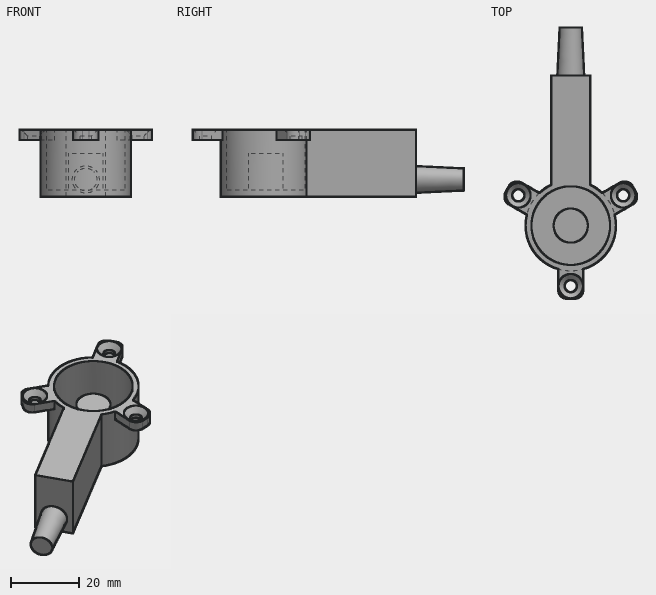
import cadquery as cq
import math

total_length = 79.4
height = 19.7

cup_diameter = 26.5
bore_diameter = 23.0
floor_thickness = 2.0
post_diameter = 10.0
post_top_depth = 7.0

ear_count = 3
ear_first_angle = -90.0
ear_reach = 21.4
ear_width = 7.4
ear_thickness = 3.1
ear_corner_radius = 2.7
hole_distance = 17.7
hole_diameter = 3.5
countersink_diameter = 7.15
countersink_angle = 90.0

arm_width = 11.4
arm_end = 44.0
stub_root_diameter = 7.95
stub_tip_diameter = 6.6
stub_axis_height = 5.1
stub_tip = total_length - ear_reach


def cylinder(diameter, bottom, top):
    """Upright cylinder on the cup axis."""
    return cq.Workplane("XY").workplane(offset=bottom).circle(diameter / 2).extrude(top - bottom)


def make_arm():
    """Rectangular arm running from the cup axis to its flat end."""
    return cq.Workplane("XY").box(arm_width, arm_end, height, centered=(True, False, False))


def make_stub():
    """Cable stub that narrows away from the end of the arm."""
    stub_length = stub_tip - arm_end
    taper = math.degrees(math.atan((stub_root_diameter - stub_tip_diameter) / 2 / stub_length))
    return (
        cq.Workplane("XZ", origin=(0, arm_end, stub_axis_height))
        .circle(stub_root_diameter / 2)
        .extrude(-stub_length, taper=taper)
    )


def make_ear(angle):
    """Flat ear flush with the cup rim, with rounded outer corners."""
    return (
        cq.Workplane("XY")
        .box(ear_reach, ear_width, ear_thickness, centered=(False, True, False))
        .edges("|Z and >X")
        .fillet(ear_corner_radius)
        .translate((0, 0, height - ear_thickness))
        .rotate((0, 0, 0), (0, 0, 1), angle)
    )


ear_angles = [ear_first_angle + i * 360 / ear_count for i in range(ear_count)]

result = cylinder(cup_diameter, 0, height).union(make_arm()).union(make_stub())
for ear_angle in ear_angles:
    result = result.union(make_ear(ear_angle))

result = result.cut(cylinder(bore_diameter, floor_thickness, height))
result = result.union(cylinder(post_diameter, 0, height - post_top_depth))

hole_centers = [
    (hole_distance * math.cos(math.radians(a)), hole_distance * math.sin(math.radians(a)))
    for a in ear_angles
]
result = (
    result.faces(">Z")
    .workplane(origin=(0, 0, height))
    .pushPoints(hole_centers)
    .cskHole(hole_diameter, countersink_diameter, countersink_angle)
)